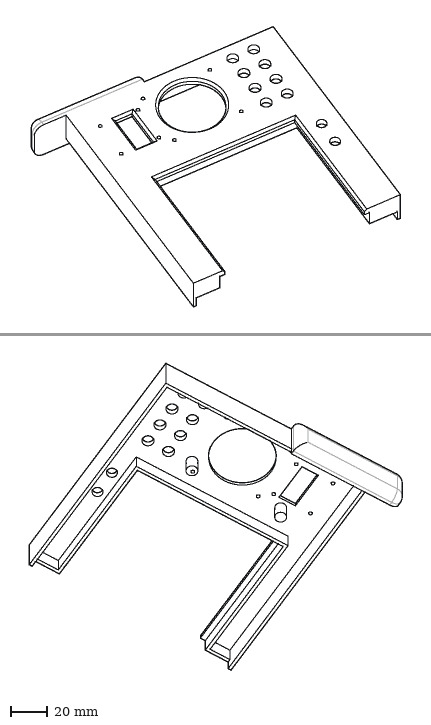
import cadquery as cq


body_length = 142.5
body_width = 132.0
body_height = 20.0
plate_thickness = 4.0
wall_thickness = 2.0
inner_depth = 13.4
edge_chamfer = 1.5

bay_left = 64.4
bay_front = 20.1
bay_back = 109.0
bay_recess = 3.2

grip_thickness = 8.0
grip_length = 70.2
grip_height = 25.0
grip_overhang = 20.2
grip_radius = 6.0

control_diameter = 6.5
control_columns = 4
control_rows = 2
control_pitch = (12.5, 13.4)
control_first = (9.3, 101.0)

arm_hole_diameter = 6.0
arm_hole_count = 2
arm_hole_pitch = 15.0
arm_hole_first = (75.4, 120.0)

openings_x = 28.0
screw_diameter = 2.0

round_diameter = 37.5
round_y = 64.4
round_screw_spacing = (35.2, 42.6)

window_length = 23.9
window_width = 10.7
window_y = 27.5
window_screw_y = 24.5
window_screw_spacing = (23.5, 24.0)

boss_diameter = 6.5
boss_x = 45.4
boss_rows = (28.5, 86.5)

pick_margin = 0.2


def block(x_min, x_max, y_min, y_max, z_min, z_max=0):
    """Box between two opposite corners."""
    size = (x_max - x_min, y_max - y_min, z_max - z_min)
    return cq.Workplane("XY").box(*size, centered=False).translate((x_min, y_min, z_min))


def row(first, pitch, count):
    """Evenly spaced positions along one axis."""
    return [first + i * pitch for i in range(count)]


def grid(columns, rows):
    """All points at the crossings of columns and rows."""
    return [(x, y) for x in columns for y in rows]


def rectangle_corners(center, spacing):
    """Corners of a rectangle around a center."""
    columns, rows = [row(c - s / 2, s, 2) for c, s in zip(center, spacing)]
    return grid(columns, rows)


def rods(centers, diameter, depth):
    """Vertical cylinders from the top face down."""
    return cq.Workplane("XY").pushPoints(centers).circle(diameter / 2).extrude(-depth)


def bay_block(growth, depth):
    """Volume of the bay, grown sideways, from the top face down to a depth."""
    return block(bay_left - growth, body_length, bay_front - growth, bay_back + growth, -depth)


def make_shell():
    """Top plate with walls at the front, left and back, and a shallower end wall on each arm."""
    inner_right = body_length - wall_thickness
    inner_back = body_width - wall_thickness
    shell = block(0, body_length, 0, body_width, -body_height)
    cavity = block(
        wall_thickness, inner_right, wall_thickness, inner_back, -body_height, -plate_thickness
    )
    end_gap = block(
        inner_right, body_length, wall_thickness, inner_back, -body_height, -inner_depth
    )
    return shell.cut(cavity).cut(end_gap)


def add_bosses(cover):
    return cover.union(rods(grid([boss_x], boss_rows), boss_diameter, inner_depth))


def add_bay_wall(cover):
    """Wall around the bay, set back under the plate."""
    cover = cover.union(bay_block(bay_recess + wall_thickness, inner_depth))
    below_plate = bay_block(bay_recess, body_height).translate((0, 0, -plate_thickness))
    return cover.cut(below_plate)


def cut_opening(cover, opening):
    """Cut an opening through the plate and chamfer its edge on the top face."""
    box = opening.val().BoundingBox()
    edge_region = cq.selectors.BoxSelector(
        (box.xmin - pick_margin, box.ymin - pick_margin, -pick_margin),
        (box.xmax + pick_margin, box.ymax + pick_margin, pick_margin),
    )
    return cover.cut(opening).edges(edge_region).chamfer(edge_chamfer)


def make_grip():
    """Bar with rounded outer edges and a rounded front end."""
    bar_back = grip_length - grip_overhang
    bar = block(-grip_thickness, 0, -grip_overhang, bar_back, -grip_height)
    outer_edges = bar.faces("<X").edges().vals()
    front_edges = bar.faces("<Y").edges("|X").vals()
    return bar.newObject(outer_edges + front_edges).fillet(grip_radius)


window = block(
    openings_x - window_length / 2,
    openings_x + window_length / 2,
    window_y - window_width / 2,
    window_y + window_width / 2,
    -plate_thickness,
)
round_opening = rods([(openings_x, round_y)], round_diameter, plate_thickness)

cover = add_bay_wall(add_bosses(make_shell()))
for opening in (bay_block(0, plate_thickness), window, round_opening):
    cover = cut_opening(cover, opening)

control_centers = grid(
    row(control_first[0], control_pitch[0], control_columns),
    row(control_first[1], control_pitch[1], control_rows),
)
cover = cover.cut(rods(control_centers, control_diameter, plate_thickness))

arm_hole_centers = grid(
    row(arm_hole_first[0], arm_hole_pitch, arm_hole_count),
    [arm_hole_first[1]],
)
cover = cover.cut(rods(arm_hole_centers, arm_hole_diameter, plate_thickness))

screw_centers = rectangle_corners((openings_x, round_y), round_screw_spacing)
screw_centers += rectangle_corners((openings_x, window_screw_y), window_screw_spacing)
cover = cover.cut(rods(screw_centers, screw_diameter, inner_depth))

result = cover.union(make_grip())